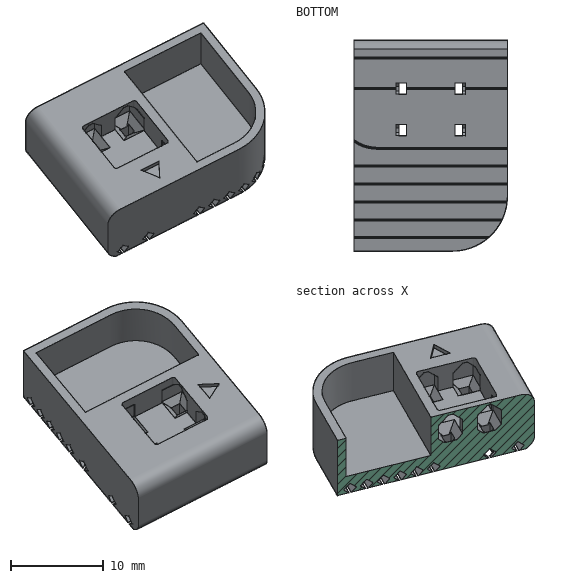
import cadquery as cq
import math

WIDTH = 16.66
LENGTH = 22.9
HEIGHT = 8.0
EDGE_RADIUS = 1.6
CORNER_RADIUS = 6.0

WALL = 1.0
TRAY_FRONT_Y = 12.08
TRAY_DEPTH = 5.5

POCKET_X = WIDTH / 2
POCKET_Y = 7.53
POCKET_WIDTH = 6.85
POCKET_LENGTH = 6.9
POCKET_DEPTH = 3.5
POCKET_CORNER_RADIUS = 0.3
POCKET_FLOOR_Z = HEIGHT - POCKET_DEPTH

PITS_CENTER_Y = 7.51
PIT_OFFSET_X = 3.2
PIT_OFFSET_Y = 2.25
SHAFT_WIDTH = 1.1
SHAFT_LENGTH = 1.2
PIT_SLOPE = 0.76
LEFT_PIT_SLOPE = 1.01
PIT_LENGTH = SHAFT_LENGTH + 2 * PIT_SLOPE
NICHE_EAVE = 2.0
NICHE_HEIGHT = 3.1

ARROW_SIDE = 2.28
ARROW_BASE_X = 13.36
ARROW_Y = PITS_CENTER_Y
ARROW_DEPTH = 0.5

CHANNEL_SIDE = 1.0
CHANNEL_Z = 0.6
CHANNEL_PITCH = 1.94
REAR_CHANNEL_Y = 21.43
REAR_CHANNEL_COUNT = 5
FRONT_CHANNELS_Y = (1.95, 5.22)

BENT_CHANNEL_Y = REAR_CHANNEL_Y - REAR_CHANNEL_COUNT * CHANNEL_PITCH
BEND_START_X = 2.55
BEND_RADIUS = 4.4
BEND_ANGLE = math.radians(50)


def make_body():
    """Block with a rounded top front edge and a teardrop bottom front edge."""
    arc_offset = EDGE_RADIUS * (1 - math.sqrt(0.5))
    profile = (
        cq.Workplane("YZ")
        .moveTo(2 * arc_offset, 0)
        .lineTo(LENGTH, 0)
        .lineTo(LENGTH, HEIGHT)
        .lineTo(EDGE_RADIUS, HEIGHT)
        .radiusArc((0, HEIGHT - EDGE_RADIUS), -EDGE_RADIUS)
        .lineTo(0, EDGE_RADIUS)
        .radiusArc((arc_offset, arc_offset), -EDGE_RADIUS)
        .close()
    )
    return profile.extrude(WIDTH).edges("|Z and >X and >Y").fillet(CORNER_RADIUS)


def make_tray():
    """Rear cavity that leaves a constant wall along the outside."""
    return (
        cq.Workplane("XY", origin=(0, 0, HEIGHT - TRAY_DEPTH))
        .moveTo(WALL, TRAY_FRONT_Y)
        .lineTo(WIDTH - WALL, TRAY_FRONT_Y)
        .lineTo(WIDTH - WALL, LENGTH - WALL)
        .lineTo(WALL, LENGTH - WALL)
        .close()
        .extrude(TRAY_DEPTH)
        .edges("|Z and >X and >Y")
        .fillet(CORNER_RADIUS - WALL)
    )


def make_pocket():
    return (
        cq.Workplane("XY", origin=(POCKET_X, POCKET_Y, POCKET_FLOOR_Z))
        .rect(POCKET_WIDTH, POCKET_LENGTH)
        .extrude(POCKET_DEPTH)
        .edges("|Z")
        .fillet(POCKET_CORNER_RADIUS)
    )


def make_pit(x, y, slope):
    """Shaft, 45 degree funnel up to the pocket floor, and a gabled niche above it."""
    shaft = cq.Workplane("XY", origin=(x, y, 0)).rect(SHAFT_WIDTH, SHAFT_LENGTH).extrude(POCKET_FLOOR_Z)
    pit_width = SHAFT_WIDTH + 2 * slope
    funnel = (
        cq.Workplane("XY", origin=(x, y, POCKET_FLOOR_Z - slope))
        .rect(SHAFT_WIDTH, PIT_LENGTH - 2 * slope)
        .workplane(offset=slope)
        .rect(pit_width, PIT_LENGTH)
        .loft()
    )

    eave_y = PIT_LENGTH / 2
    ceiling_y = eave_y - (NICHE_HEIGHT - NICHE_EAVE)
    niche = (
        cq.Workplane("YZ", origin=(x - pit_width / 2, y, POCKET_FLOOR_Z))
        .polyline([
            (-eave_y, 0),
            (eave_y, 0),
            (eave_y, NICHE_EAVE),
            (ceiling_y, NICHE_HEIGHT),
            (-ceiling_y, NICHE_HEIGHT),
            (-eave_y, NICHE_EAVE),
        ])
        .close()
        .extrude(pit_width)
    )
    return shaft.union(funnel).union(niche)


def make_arrow():
    arrow_tip_x = ARROW_BASE_X + ARROW_SIDE * math.sin(math.radians(60))
    return (
        cq.Workplane("XY", origin=(0, ARROW_Y, HEIGHT - ARROW_DEPTH))
        .polyline([(ARROW_BASE_X, -ARROW_SIDE / 2), (arrow_tip_x, 0), (ARROW_BASE_X, ARROW_SIDE / 2)])
        .close()
        .extrude(ARROW_DEPTH)
    )


def channel_section(x, y):
    """Square standing on its corner, on a plane across X."""
    plane = cq.Workplane("YZ", origin=(x, y, CHANNEL_Z))
    return plane.transformed(rotate=(0, 0, 45)).rect(CHANNEL_SIDE, CHANNEL_SIDE)


def make_channel(y):
    return channel_section(0, y).extrude(WIDTH)


def make_bent_channel():
    straight = channel_section(BEND_START_X, BENT_CHANNEL_Y).extrude(WIDTH - BEND_START_X)

    def bend_point(angle):
        return (
            BEND_START_X - BEND_RADIUS * math.sin(angle),
            BENT_CHANNEL_Y - BEND_RADIUS * (1 - math.cos(angle)),
        )

    bend_path = (
        cq.Workplane("XY", origin=(0, 0, CHANNEL_Z))
        .moveTo(*bend_point(0))
        .threePointArc(bend_point(BEND_ANGLE / 2), bend_point(BEND_ANGLE))
    )
    bend = channel_section(BEND_START_X, BENT_CHANNEL_Y).sweep(bend_path)
    return straight.union(bend)


result = make_body().cut(make_tray()).cut(make_pocket()).cut(make_arrow())

for side_x, pit_slope in ((-1, LEFT_PIT_SLOPE), (1, PIT_SLOPE)):
    for side_y in (-1, 1):
        pit_x = POCKET_X + side_x * PIT_OFFSET_X
        pit_y = PITS_CENTER_Y + side_y * PIT_OFFSET_Y
        result = result.cut(make_pit(pit_x, pit_y, pit_slope))

rear_channels_y = [REAR_CHANNEL_Y - i * CHANNEL_PITCH for i in range(REAR_CHANNEL_COUNT)]
for channel_y in (*rear_channels_y, *FRONT_CHANNELS_Y):
    result = result.cut(make_channel(channel_y))
result = result.cut(make_bent_channel())